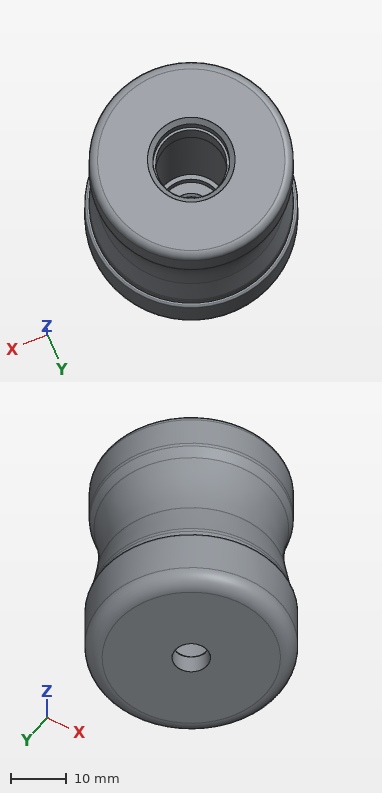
import cadquery as cq

total_height = 44.45
base_height = 12.05
hole_radius = 3.42

base_diameter = 38.1
base_radius = base_diameter / 2
base_bottom_fillet = 3.1
base_top_fillet = 0.4
seat_height = 6.65
base_bore_radius = 5.95
base_bore_floor = 4.45
countersink_radius = 3.9

head_radius = 18.25
head_top_fillet = 1.5
head_bottom = 36.45
shoulder_radius = 17.42
shoulder_height = 33.85
neck_radius = 16.55
neck_height = 26.55
waist_end_radius = 17.0
waist_end_height = 21.15
foot_height = 13.95
head_blend = 2.0
foot_blend = 4.45

mouth_radius = 6.85
mouth_depth = 3.45
mouth_chamfer = 1.0
knob_bore_radius = 6.35
knob_bore_end_depth = 8.8
flare_depth = 0.95


def cylinder(radius, bottom, top):
    return cq.Workplane("XY").workplane(offset=bottom).circle(radius).extrude(top - bottom)


def cone(bottom_radius, bottom, top_radius, top):
    """Solid cone frustum about Z."""
    profile = [(0, bottom), (bottom_radius, bottom), (top_radius, top), (0, top)]
    return cq.Workplane("XZ").polyline(profile).close().revolve(360, (0, 0), (0, 1))


def edge_at(height, radius):
    """Selector for the outer circular edge at a given height."""
    margin = 0.022
    reach = radius + margin
    return cq.selectors.BoxSelector(
        (-reach, -reach, height - margin), (reach, reach, height + margin), boundingbox=True
    )


def make_base():
    base = cylinder(base_radius, 0, base_height)
    base = base.faces("<Z").edges().fillet(base_bottom_fillet)
    base = base.faces(">Z").edges().fillet(base_top_fillet)

    base = base.cut(cylinder(head_radius, seat_height, base_height))

    countersink_bottom = base_bore_floor - (countersink_radius - hole_radius)
    base = base.cut(cylinder(base_bore_radius, base_bore_floor, seat_height))
    base = base.cut(cylinder(hole_radius, 0, base_bore_floor))
    return base.cut(cone(hole_radius, countersink_bottom, countersink_radius, base_bore_floor))


def make_knob_blank():
    """Waisted outer shape, without the bore."""
    blank = (
        cq.Workplane("XZ")
        .moveTo(0, seat_height)
        .lineTo(head_radius, seat_height)
        .lineTo(head_radius, foot_height)
        .lineTo(waist_end_radius, waist_end_height)
        .threePointArc((neck_radius, neck_height), (shoulder_radius, shoulder_height))
        .lineTo(head_radius, head_bottom)
        .lineTo(head_radius, total_height)
        .lineTo(0, total_height)
        .close()
        .revolve(360, (0, 0), (0, 1))
    )
    blank = blank.faces(">Z").edges().fillet(head_top_fillet)
    blank = blank.edges(edge_at(head_bottom, head_radius)).fillet(head_blend)
    return blank.edges(edge_at(foot_height, head_radius)).fillet(foot_blend)


def make_knob():
    knob = make_knob_blank()
    mouth_floor = total_height - mouth_depth
    bore_end = total_height - knob_bore_end_depth
    flare_end = bore_end - flare_depth

    mouth_cone = cone(mouth_radius, total_height - mouth_chamfer, mouth_radius + mouth_chamfer, total_height)
    knob = knob.cut(mouth_cone)
    knob = knob.cut(cylinder(mouth_radius, mouth_floor, total_height))
    knob = knob.cut(cylinder(knob_bore_radius, bore_end, mouth_floor))
    knob = knob.cut(cone(mouth_radius, flare_end, knob_bore_radius, bore_end))
    return knob.cut(cylinder(mouth_radius, seat_height, flare_end))


base = make_base()
knob = make_knob()
result = cq.Compound.makeCompound([base.solids().val(), knob.solids().val()])